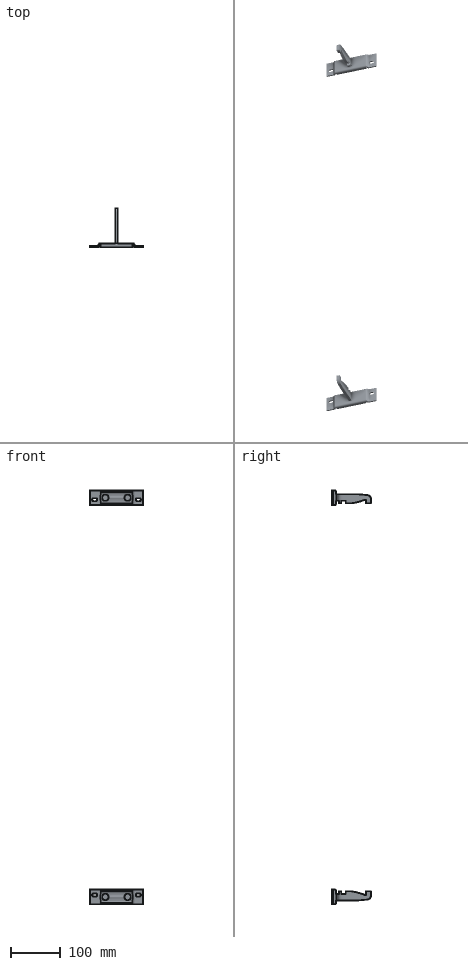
import cadquery as cq
import math

total_height = 835.0
plate_length = 107.0
plate_height = 30.0
bracket_depth = 79.2
bracket_center_z = (total_height - plate_height) / 2

tab_thickness = 3.0
plate_depth = 8.4
recess_depth = 4.5
wall_angle = math.radians(55.0)
recess_half_front = 35.8
recess_half_back = recess_half_front - recess_depth / math.tan(wall_angle)
back_half = 34.2
tab_shoulder_half = back_half + (plate_depth - tab_thickness) / math.tan(wall_angle)
recess_bend_radius = 0.5
back_bend_radius = 2.0
long_edge_radius = 3.0

lip_half_length = 32.0
lip_thickness = 3.6
lip_radius = recess_depth

rib_width = 8.45
rib_slope = math.radians(25.0)
rib_crest_width = 3.8
pad_diameter = 13.0
pad_height = 2.0
pad_x = 22.5

slot_width = 5.5
slot_length = 10.0
slot_x = 44.0
slot_z = -3.9

blade_thickness = 6.0
blade_top = 7.2
neck_bottom = -6.4
belly_bottom = -11.5
neck_end = 28.0
tooth_start = 14.0
tooth_width = 5.0
belly_flat_end = 40.0
belly_mid = (57.2, -7.6)
notch_floor = -4.3
notch_outer = 68.5
notch_inner = 66.5
slope_start = 53.5
slope_angle = math.radians(5.0)
nose_radius = 9.0
slope_end = bracket_depth - nose_radius
slope_end_z = blade_top - (slope_end - slope_start) * math.tan(slope_angle)
nose_center_z = slope_end_z - nose_radius
tip_radius = 2.0


def make_plate():
    outline = [
        (-plate_length / 2, 0),
        (-recess_half_front, 0),
        (-recess_half_back, recess_depth),
        (recess_half_back, recess_depth),
        (recess_half_front, 0),
        (plate_length / 2, 0),
        (plate_length / 2, tab_thickness),
        (tab_shoulder_half, tab_thickness),
        (back_half, plate_depth),
        (-back_half, plate_depth),
        (-tab_shoulder_half, tab_thickness),
        (-plate_length / 2, tab_thickness),
    ]
    plate = (
        cq.Workplane("XY")
        .polyline(outline)
        .close()
        .extrude(plate_height)
    )
    recess_bends = [(recess_half_front, 0), (recess_half_back, recess_depth)]
    back_bends = [(back_half, plate_depth), (tab_shoulder_half, tab_thickness)]
    for radius, bends in ((recess_bend_radius, recess_bends), (back_bend_radius, back_bends)):
        for x, y in bends:
            for side in (-1, 1):
                bend_edge = cq.selectors.NearestToPointSelector((side * x, y, plate_height / 2))
                plate = plate.edges(bend_edge).fillet(radius)
    plate = plate.translate((0, 0, -plate_height / 2))
    rounded_block = (
        cq.Workplane("XY")
        .box(plate_length, plate_depth, plate_height, centered=(True, False, True))
        .faces(">Y")
        .edges("|X")
        .fillet(long_edge_radius)
    )
    return plate.intersect(rounded_block)


def make_lip(side):
    edge = side * plate_height / 2
    inner = edge - side * lip_thickness
    bend_end = inner - side * lip_radius
    bend_shift = lip_radius * math.sqrt(0.5)
    return (
        cq.Workplane("YZ")
        .moveTo(0, edge)
        .lineTo(recess_depth, edge)
        .lineTo(recess_depth, bend_end)
        .threePointArc((bend_shift, bend_end + side * bend_shift), (0, inner))
        .close()
        .extrude(lip_half_length, both=True)
    )


def make_rib():
    half_width = rib_width / 2
    half_crest = rib_crest_width / 2
    crest_rise = half_crest * math.tan(rib_slope / 2)
    flank_rise = (half_width - half_crest) * math.tan(rib_slope / 2)
    flank_y = recess_depth - flank_rise
    flank_radius = (half_width - half_crest) / math.sin(rib_slope)
    flank_mid_y = recess_depth - flank_radius * (1 - math.cos(rib_slope / 2))
    flank_mid_z = half_width - flank_radius * math.sin(rib_slope / 2)
    return (
        cq.Workplane("YZ")
        .moveTo(recess_depth, -half_width)
        .threePointArc((flank_mid_y, -flank_mid_z), (flank_y, -half_crest))
        .threePointArc((flank_y - crest_rise, 0), (flank_y, half_crest))
        .threePointArc((flank_mid_y, flank_mid_z), (recess_depth, half_width))
        .close()
        .extrude(recess_half_back, both=True)
    )


def make_pads():
    return (
        cq.Workplane("XZ", origin=(0, recess_depth, 0))
        .pushPoints([(-pad_x, 0), (pad_x, 0)])
        .circle(pad_diameter / 2)
        .extrude(pad_height)
    )


def make_blade():
    nose_shift = nose_radius * math.sqrt(0.5)
    nose_mid = (slope_end + nose_shift, nose_center_z + nose_shift)
    blade = (
        cq.Workplane("YZ")
        .moveTo(plate_depth, blade_top)
        .lineTo(slope_start, blade_top)
        .lineTo(slope_end, slope_end_z)
        .threePointArc(nose_mid, (bracket_depth, nose_center_z))
        .lineTo(bracket_depth, belly_bottom)
        .lineTo(notch_outer, belly_bottom)
        .lineTo(notch_outer, notch_floor)
        .lineTo(notch_inner, notch_floor)
        .threePointArc(belly_mid, (belly_flat_end, belly_bottom))
        .lineTo(neck_end, belly_bottom)
        .lineTo(neck_end, neck_bottom)
        .lineTo(tooth_start + tooth_width, neck_bottom)
        .lineTo(tooth_start + tooth_width, belly_bottom)
        .lineTo(tooth_start, belly_bottom)
        .lineTo(tooth_start, neck_bottom)
        .lineTo(plate_depth, neck_bottom)
        .close()
        .extrude(blade_thickness / 2, both=True)
    )
    tip_edge = cq.selectors.NearestToPointSelector((0, bracket_depth, belly_bottom))
    return blade.edges(tip_edge).fillet(tip_radius)


def make_mounting_slots():
    return (
        cq.Workplane("XZ")
        .pushPoints([(-slot_x, slot_z), (slot_x, slot_z)])
        .slot2D(slot_length, slot_width)
        .extrude(-tab_thickness)
    )


def make_bracket():
    bracket = make_plate()
    for side in (1, -1):
        bracket = bracket.union(make_lip(side))
    bracket = bracket.union(make_rib()).union(make_pads()).union(make_blade())
    return bracket.cut(make_mounting_slots())


upper_bracket = make_bracket().translate((0, 0, bracket_center_z))
lower_bracket = upper_bracket.mirror("XY")

result = cq.Compound.makeCompound([upper_bracket.val(), lower_bracket.val()])